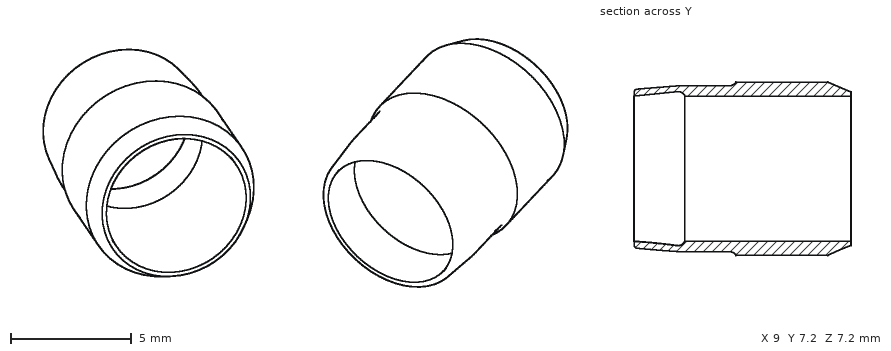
import cadquery as cq
import math

length = 9.0
body_radius = 7.2 / 2
neck_radius = 6.9 / 2
bore_radius = 6.0 / 2

nose_length = 1.9
lip_radius = 3.31
lip_round = 0.16
mouth_face_radius = lip_radius - lip_round
nose_inner_length = 1.84
nose_inner_radius = 3.19

step_fillet = 0.3
neck_end = 3.97

chamfer_length = 0.97
chamfer_depth = 0.41


def step_arc(start_x, start_radius, end_radius):
    """Middle and end points of a fillet that leaves a line along X tangentially."""
    rise = abs(end_radius - start_radius)
    direction = math.copysign(1, end_radius - start_radius)
    angle = math.acos(1 - rise / step_fillet)
    middle = (
        start_x + step_fillet * math.sin(angle / 2),
        start_radius + direction * step_fillet * (1 - math.cos(angle / 2)),
    )
    end = (start_x + step_fillet * math.sin(angle), end_radius)
    return middle, end


outer_middle, body_start = step_arc(neck_end, neck_radius, body_radius)
inner_middle, bore_start = step_arc(nose_inner_length, nose_inner_radius, bore_radius)
round_middle = lip_round * math.sqrt(0.5)

wall_section = (
    cq.Workplane("XZ")
    .moveTo(0, bore_radius)
    .lineTo(0, mouth_face_radius)
    .threePointArc(
        (lip_round - round_middle, mouth_face_radius + round_middle),
        (lip_round, lip_radius),
    )
    .lineTo(nose_length, neck_radius)
    .lineTo(neck_end, neck_radius)
    .threePointArc(outer_middle, body_start)
    .lineTo(length - chamfer_length, body_radius)
    .lineTo(length, body_radius - chamfer_depth)
    .lineTo(length, bore_radius)
    .lineTo(*bore_start)
    .threePointArc(inner_middle, (nose_inner_length, nose_inner_radius))
    .close()
)

result = wall_section.revolve(360, (0, 0, 0), (1, 0, 0))